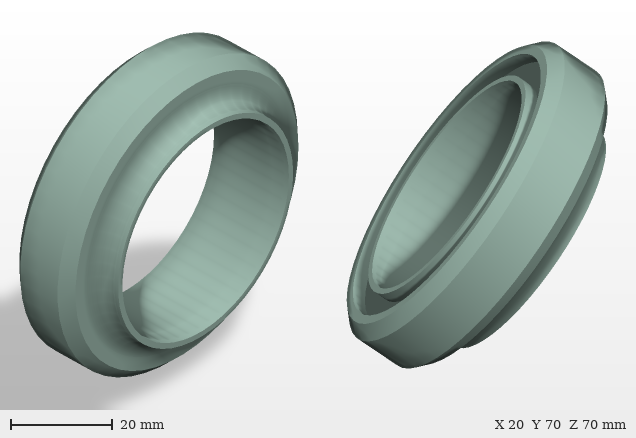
import cadquery as cq
import math

OUTER_DIAMETER = 70.0
BORE_DIAMETER = 48.5
SLEEVE_DIAMETER = 51.0
GROOVE_OUTER_DIAMETER = 61.0
TOTAL_LENGTH = 20.0
FLANGE_LENGTH = 15.0
RIM_CHAMFER = 2.5
FILLET_RADIUS = 4.0
GROOVE_DEPTH = 3.0

outer_radius = OUTER_DIAMETER / 2
bore_radius = BORE_DIAMETER / 2
sleeve_radius = SLEEVE_DIAMETER / 2
groove_outer_radius = GROOVE_OUTER_DIAMETER / 2


def revolve_about_x(profile):
    """Turn a closed profile, drawn as (axial, radial), fully around the X axis."""
    return profile.close().revolve(360, (0, 0, 0), (1, 0, 0))


def make_body():
    """Chamfered flange blended by a concave fillet into the thin sleeve, with a through bore."""
    chamfered_radius = outer_radius - RIM_CHAMFER
    fillet_center_x = FLANGE_LENGTH + FILLET_RADIUS
    fillet_center_radius = sleeve_radius + FILLET_RADIUS
    fillet_mid_offset = FILLET_RADIUS * math.sqrt(0.5)
    fillet_middle = (fillet_center_x - fillet_mid_offset, fillet_center_radius - fillet_mid_offset)

    profile = (
        cq.Workplane("XY")
        .moveTo(0, bore_radius)
        .lineTo(0, chamfered_radius)
        .lineTo(RIM_CHAMFER, outer_radius)
        .lineTo(FLANGE_LENGTH - RIM_CHAMFER, outer_radius)
        .lineTo(FLANGE_LENGTH, chamfered_radius)
        .lineTo(FLANGE_LENGTH, fillet_center_radius)
        .threePointArc(fillet_middle, (fillet_center_x, sleeve_radius))
        .lineTo(TOTAL_LENGTH, sleeve_radius)
        .lineTo(TOTAL_LENGTH, bore_radius)
    )
    return revolve_about_x(profile)


def make_face_groove():
    """Square-bottomed annular groove between the sleeve wall and the flange rim."""
    profile = (
        cq.Workplane("XY")
        .moveTo(0, sleeve_radius)
        .lineTo(0, groove_outer_radius)
        .lineTo(GROOVE_DEPTH, groove_outer_radius)
        .lineTo(GROOVE_DEPTH, sleeve_radius)
    )
    return revolve_about_x(profile)


result = make_body().cut(make_face_groove())